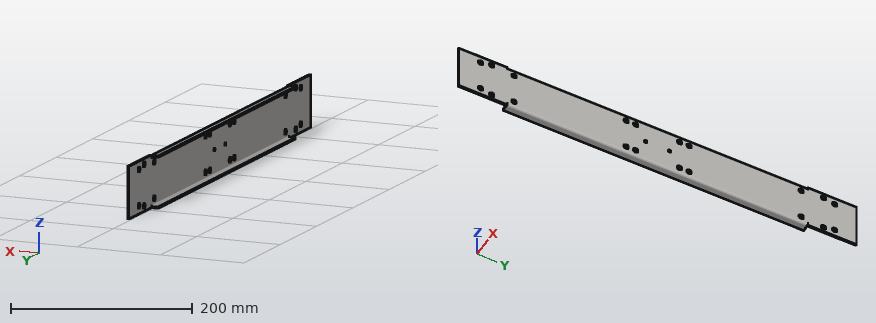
import cadquery as cq

depth = 10.0
length = 500.0
height = 59.5

sheet_thickness = 2.0
flange_length = 378.0
outer_bend_radius = 3.0

mount_hole_diameter = 6.0
mount_hole_height = 20.5
mount_hole_offsets = (27.5, 39.5, 180.5, 222.5)
outer_hole_height = 23.5
outer_hole_offset = 208.5
centre_hole_diameter = 3.5
centre_hole_offset = 15.0

inner_bend_radius = outer_bend_radius - sheet_thickness
web_centre_x = (depth - sheet_thickness) / 2


def make_web():
    """Flat plate standing on the +X side, full length and height."""
    return cq.Workplane("XY").box(sheet_thickness, length, height).translate((web_centre_x, 0, 0))


def make_flanged_section():
    """Channel open toward -X, with rounded bends between web and flanges."""
    block = (
        cq.Workplane("XY")
        .box(depth, flange_length, height)
        .edges("|Y and >X")
        .fillet(outer_bend_radius)
    )
    cavity = (
        cq.Workplane("XY")
        .box(depth, flange_length, height - 2 * sheet_thickness)
        .edges("|Y and >X")
        .fillet(inner_bend_radius)
        .translate((-sheet_thickness, 0, 0))
    )
    return block.cut(cavity)


def make_channel():
    """Flanged middle section with the flat web continuing past both ends."""
    flange_zone = cq.Workplane("XY").box(depth, flange_length, height)
    return make_web().cut(flange_zone).union(make_flanged_section())


def drill(body, diameter, points):
    """Drill through the web along X at the given (y, z) points."""
    drills = (
        cq.Workplane("YZ", origin=(-depth / 2, 0, 0))
        .pushPoints(points)
        .circle(diameter / 2)
        .extrude(depth)
    )
    return body.cut(drills)


def four_corners(y, z):
    """Points mirrored about both centre lines of the web."""
    return [(side_y * y, side_z * z) for side_y in (1, -1) for side_z in (1, -1)]


mount_points = four_corners(outer_hole_offset, outer_hole_height)
for offset in mount_hole_offsets:
    mount_points += four_corners(offset, mount_hole_height)
centre_points = [(-centre_hole_offset, 0), (centre_hole_offset, 0)]

result = make_channel()
result = drill(result, mount_hole_diameter, mount_points)
result = drill(result, centre_hole_diameter, centre_points)